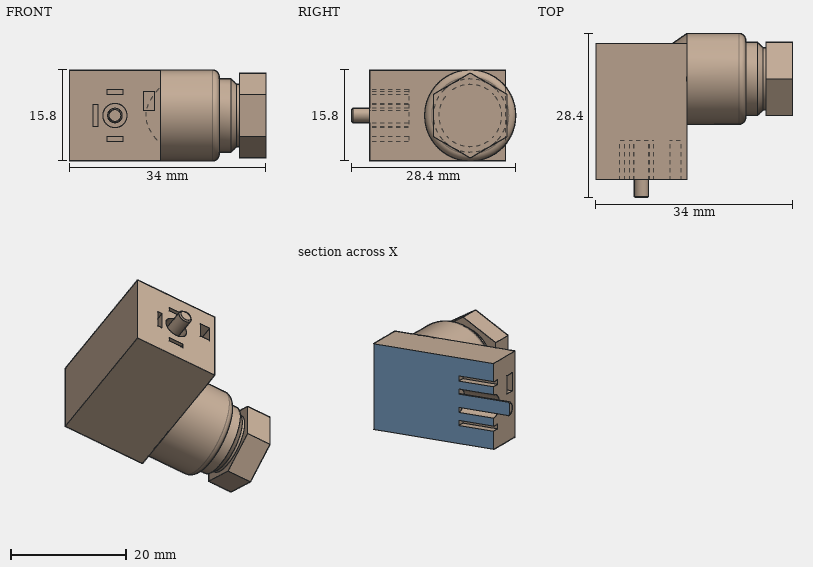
import cadquery as cq
import math

housing_width = 15.75
housing_depth = 23.5
housing_height = 15.65

outlet_radius = 15.75 / 2
outlet_overhang = 1.75
outlet_axis_y = housing_depth + outlet_overhang - outlet_radius
outlet_end_x = 25.9
outlet_fillet = 1.22
tail_length = 3.75
tail_radius = 10.55 / 2

collar_radius = 12.7 / 2
collar_end_x = 27.85
neck_radius = 10.8 / 2
neck_start_x = 28.88

nut_start_x = 29.35
nut_end_x = 33.95
nut_across_flats = 12.7

screw_x = housing_width / 2
screw_diameter = 2.5
screw_projection = 3.12
screw_chamfer = 0.25
screw_hole_diameter = 4.17
opening_depth = 6.8

slot_thickness = 0.85
side_slot_length = 2.82
side_slot_offset = 4.05
earth_slot_length = 3.8
earth_slot_offset = 3.33

pocket_width = 1.9
pocket_height = 3.3
pocket_x = 13.75
pocket_z = 2.5


def opening(x, z, width, height):
    """Blind rectangular opening in the -Y face, centred at (x, z)."""
    return (
        cq.Workplane("XY")
        .box(width, opening_depth, height, centered=(True, False, True))
        .translate((x, 0, z))
    )


def cylinder_along_y(diameter, start_y, length):
    """Cylinder on the screw axis, running from start_y toward +Y."""
    base = cq.Plane(origin=(screw_x, start_y, 0), xDir=(1, 0, 0), normal=(0, 1, 0))
    return cq.Workplane(base).circle(diameter / 2).extrude(length)


def make_housing():
    body = cq.Workplane("XY").box(
        housing_width, housing_depth, housing_height, centered=(False, False, True)
    )
    for side in (1, -1):
        slot_z = side * side_slot_offset
        body = body.cut(opening(screw_x, slot_z, side_slot_length, slot_thickness))
    body = body.cut(opening(screw_x - earth_slot_offset, 0, slot_thickness, earth_slot_length))
    body = body.cut(opening(pocket_x, pocket_z, pocket_width, pocket_height))
    return body.cut(cylinder_along_y(screw_hole_diameter, 0, opening_depth))


def make_screw():
    """Screw rising from the floor of its clearance hole."""
    screw = cylinder_along_y(screw_diameter, -screw_projection, screw_projection + opening_depth)
    return screw.faces("<Y").chamfer(screw_chamfer)


def make_outlet():
    """Revolved outlet: tapered tail inside the housing, body, collar and neck."""
    fillet_start_x = outlet_end_x - outlet_fillet
    fillet_centre_radius = outlet_radius - outlet_fillet
    fillet_mid = (
        fillet_start_x + outlet_fillet * math.cos(math.radians(45)),
        fillet_centre_radius + outlet_fillet * math.sin(math.radians(45)),
    )
    profile = (
        cq.Workplane("XY")
        .moveTo(housing_width - tail_length, 0)
        .lineTo(housing_width - tail_length, tail_radius)
        .lineTo(housing_width, outlet_radius)
        .lineTo(fillet_start_x, outlet_radius)
        .threePointArc(fillet_mid, (outlet_end_x, fillet_centre_radius))
        .lineTo(outlet_end_x, collar_radius)
        .lineTo(collar_end_x, collar_radius)
        .lineTo(neck_start_x, neck_radius)
        .lineTo(nut_start_x, neck_radius)
        .lineTo(nut_start_x, 0)
        .close()
    )
    outlet = profile.revolve(360, (0, 0, 0), (1, 0, 0))
    return outlet.translate((0, outlet_axis_y, 0))


def make_nut():
    across_corners = nut_across_flats / math.cos(math.radians(30))
    base = cq.Plane(origin=(nut_start_x, outlet_axis_y, 0), xDir=(0, 0, 1), normal=(1, 0, 0))
    return cq.Workplane(base).polygon(6, across_corners).extrude(nut_end_x - nut_start_x)


result = make_housing().union(make_screw()).union(make_outlet()).union(make_nut())